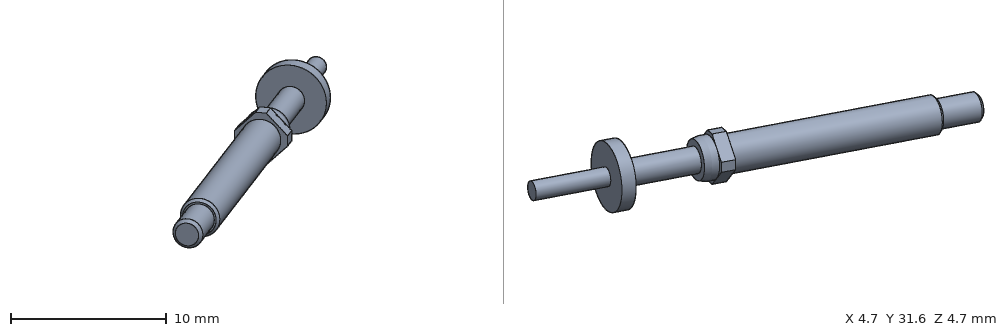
import cadquery as cq

total_length = 31.6

barrel_front = 3.0
collar_front = 18.0
ring_width = 1.0
cap_front = collar_front + ring_width
neck_front = cap_front + ring_width
flange_front = 25.3
tail_front = flange_front + ring_width

plunger_diameter = 2.0
barrel_diameter = 2.62
collar_across_flats = 3.0
collar_across_corners = 3.55
cap_diameter = collar_across_flats
neck_diameter = 1.8
flange_diameter = 4.7
tail_diameter = 1.3

plunger_chamfer = 0.22
barrel_chamfer = 0.2
cap_chamfer_length = 0.5
cap_chamfer_depth = 0.13


def cylinder(diameter, y_start, y_end):
    """Cylinder on the Y axis between two Y positions."""
    disc = cq.Workplane("XZ", origin=(0, y_start, 0)).circle(diameter / 2)
    return disc.extrude(y_start - y_end)


def make_collar():
    """Square collar standing on its corners, with the four corners cut flat."""
    square = (
        cq.Workplane("XZ", origin=(0, collar_front, 0))
        .rect(collar_across_flats, collar_across_flats)
        .extrude(-ring_width)
        .rotate((0, 0, 0), (0, 1, 0), 45)
    )
    corner_limits = (
        cq.Workplane("XZ", origin=(0, collar_front, 0))
        .rect(collar_across_corners, collar_across_corners)
        .extrude(-ring_width)
    )
    return square.intersect(corner_limits)


plunger = cylinder(plunger_diameter, 0, barrel_front).faces("<Y").chamfer(plunger_chamfer)
barrel = cylinder(barrel_diameter, barrel_front, collar_front).faces("<Y").chamfer(barrel_chamfer)
cap = (
    cylinder(cap_diameter, cap_front, neck_front)
    .faces(">Y")
    .edges()
    .chamfer(cap_chamfer_length, cap_chamfer_depth)
)
neck = cylinder(neck_diameter, neck_front, flange_front)
flange = cylinder(flange_diameter, flange_front, tail_front)
tail = cylinder(tail_diameter, tail_front, total_length)

result = plunger
for section in (barrel, make_collar(), cap, neck, flange, tail):
    result = result.union(section)